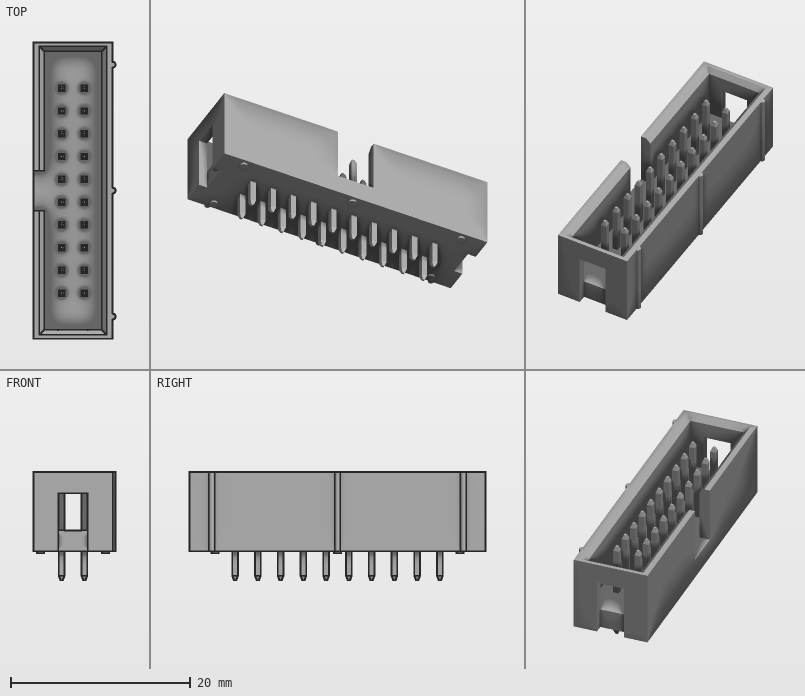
import cadquery as cq


length = 33.05
width = 8.85
height = 8.85
side_wall = 1.22
end_wall = 1.0
floor_thickness = 2.35
rim_chamfer = 0.55

key_notch_width = 4.5
end_window_width = 3.27
end_window_top = 6.48

rib_radius = 0.33
rib_spacing = 14.05

standoff_diameter = 0.85
standoff_height = 0.23
standoff_x = 3.65
standoff_spacing = 13.65

row_span = 22.85
columns = 2
rows = 10
pitch = row_span / (rows - 1)
pin_size = 0.65
pin_tip_size = 0.25
pin_tip_length = 0.53
pin_bottom = -3.25
pin_top_clearance = 0.45


def make_housing():
    """Open-topped box with a chamfered rim."""
    cavity_depth = height - floor_thickness
    return (
        cq.Workplane("XY")
        .box(width, length, height, centered=(True, True, False))
        .faces(">Z")
        .workplane()
        .rect(width - 2 * side_wall, length - 2 * end_wall)
        .cutBlind(-cavity_depth)
        .faces(">Z")
        .wires()
        .item(1)
        .chamfer(rim_chamfer)
    )


def make_key_notch():
    """Cutter for the polarising notch in the -X wall, open at the top."""
    return cq.Workplane("XY").box(
        side_wall, key_notch_width, height - floor_thickness, centered=(False, True, False)
    ).translate((-width / 2, 0, floor_thickness))


def make_end_window(side):
    """Cutter for the window through one end wall, open at the underside."""
    center_y = side * (length - end_wall) / 2
    return cq.Workplane("XY").box(
        end_window_width, end_wall, end_window_top, centered=(True, True, False)
    ).translate((0, center_y, 0))


def make_ribs():
    """Three half-round full-height ribs on the +X wall."""
    return (
        cq.Workplane("XY")
        .pushPoints([(width / 2, i * rib_spacing) for i in (-1, 0, 1)])
        .circle(rib_radius)
        .extrude(height)
    )


def make_standoffs():
    """Two columns of three short round feet."""
    centers = [(x, i * standoff_spacing) for x in (-standoff_x, standoff_x) for i in (-1, 0, 1)]
    return (
        cq.Workplane("XY")
        .pushPoints(centers)
        .circle(standoff_diameter / 2)
        .extrude(-standoff_height)
    )


def make_pin():
    """One square pin on the Z axis, tapered at both ends."""
    shank_bottom = pin_bottom + pin_tip_length
    shank_top = height - pin_top_clearance - pin_tip_length
    body = cq.Workplane("XY", origin=(0, 0, shank_bottom)).rect(pin_size, pin_size)
    body = body.extrude(shank_top - shank_bottom)
    for face in (">Z", "<Z"):
        body = (
            body.faces(face)
            .workplane()
            .rect(pin_size, pin_size)
            .workplane(offset=pin_tip_length)
            .rect(pin_tip_size, pin_tip_size)
            .loft(combine=True)
        )
    return body


result = make_housing().cut(make_key_notch())
for end in (-1, 1):
    result = result.cut(make_end_window(end))
result = result.union(make_ribs()).union(make_standoffs())

pin = make_pin()
for column in range(columns):
    for row in range(rows):
        pin_x = (column - (columns - 1) / 2) * pitch
        pin_y = (row - (rows - 1) / 2) * pitch
        result = result.union(pin.translate((pin_x, pin_y, 0)))